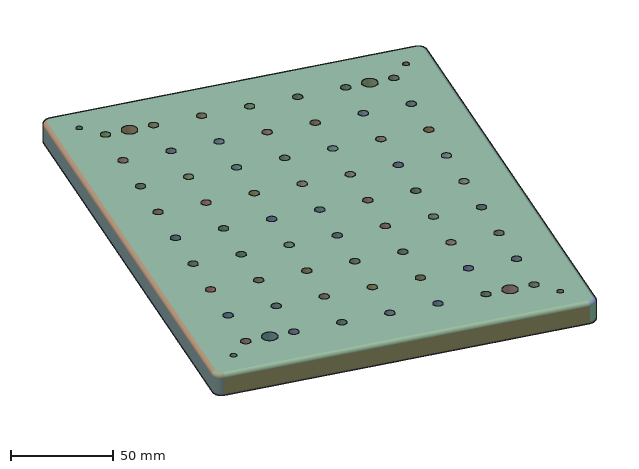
import cadquery as cq

length = 250.0
width = 200.0
thickness = 13.0
corner_radius = 5.0
edge_radius = 2.0

grid_pitch = 25.0
grid_columns = 9
grid_rows = 7
grid_hole_diameter = 5.0

mount_spacing_x = (grid_columns - 1) * grid_pitch
mount_spacing_y = (grid_rows - 2) * grid_pitch
mount_hole_diameter = 4.5
counterbore_diameter = 8.0
counterbore_depth = 6.2

corner_hole_inset = 15.0
corner_hole_diameter = 3.2


def rounded_plate():
    """Plate standing on Z = 0, with rounded corners and rounded top and bottom rims."""
    block = cq.Workplane("XY").box(length, width, thickness, centered=(True, True, False))
    block = block.edges("|Z").fillet(corner_radius)
    return block.faces("<Z or >Z").edges().fillet(edge_radius)


def hole_pattern(plate, pitch_x, pitch_y, columns, rows):
    """Centred rectangular pattern of hole centres on the top face of the plate."""
    top = plate.faces(">Z").workplane(origin=(0, 0, thickness))
    return top.rarray(pitch_x, pitch_y, columns, rows)


plate = rounded_plate()

plate = hole_pattern(plate, grid_pitch, grid_pitch, grid_columns, grid_rows).hole(grid_hole_diameter)

plate = hole_pattern(plate, mount_spacing_x, mount_spacing_y, 2, 2).cboreHole(
    mount_hole_diameter, counterbore_diameter, counterbore_depth
)

corner_spacing_x = length - 2 * corner_hole_inset
corner_spacing_y = width - 2 * corner_hole_inset
plate = hole_pattern(plate, corner_spacing_x, corner_spacing_y, 2, 2).hole(corner_hole_diameter)

result = plate